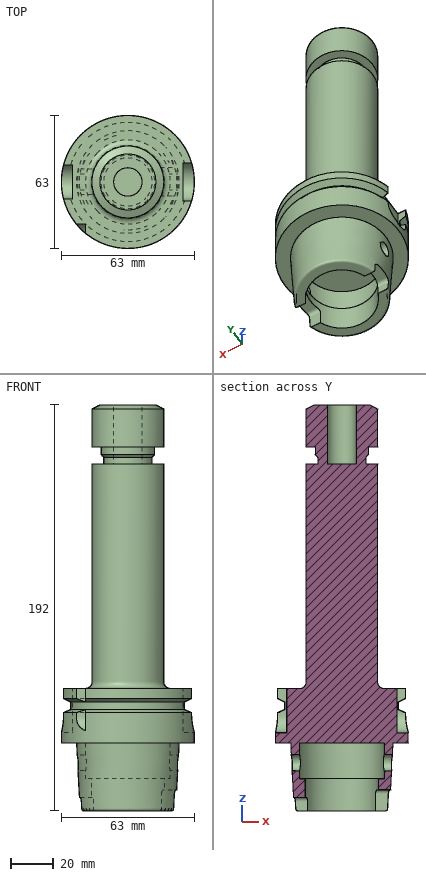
import cadquery as cq
import math

total_length = 192.0
flange_radius = 31.5

shank_length = 32.0
shank_top_diameter = 48.5
shank_top_radius = shank_top_diameter / 2
shank_taper = 0.05
shank_end_rounding = 1.2
shank_end_radius = shank_top_radius - shank_taper * shank_length

flange_height = 26.0
flange_top = shank_length + flange_height
groove_radius = 28.2
groove_lower_edge = 46.5
groove_floor_bottom = 48.0
groove_floor_top = 51.5
groove_upper_edge = 53.2

post_diameter = 34.0
post_radius = post_diameter / 2
post_top = 164.2
post_fillet = 3.0
neck_diameter = 22.8
neck_radius = neck_diameter / 2
neck_top = 167.2
collar_radius = 12.7
collar_chamfer = collar_radius - neck_radius
nut_bottom = 172.0
nut_chamfer_height = 2.0
nut_face_radius = 13.2

bore_diameter = 13.5
bore_depth = total_length - post_top

slot_floor = 26.1
slot_bottom = 37.0
left_slot_width = 16.0
right_slot_width = 18.0

notch_wall = 20.0
notch_end_radius = 7.1
notch_end_center = 44.5

mouth_radius = 17.3
recess_radius = 20.0
recess_bottom = 15.4
cavity_depth = shank_length

cross_hole_diameter = 7.5
cross_hole_height = 22.8
keyway_width = 12.0
keyway_height = 6.3
keyway_corner_radius = 2.0
deep_keyway_width = 13.5
deep_keyway_height = 10.0


def revolved_body():
    arc_inset = 1 - math.sqrt(0.5)
    fillet_mid = post_fillet * arc_inset
    rounding_mid = shank_end_rounding * arc_inset
    profile = (
        cq.Workplane("XZ")
        .lineTo(shank_end_radius - shank_end_rounding, 0)
        .threePointArc(
            (shank_end_radius - rounding_mid, rounding_mid),
            (shank_end_radius, shank_end_rounding),
        )
        .lineTo(shank_top_radius, shank_length)
        .lineTo(flange_radius, shank_length)
        .lineTo(flange_radius, groove_lower_edge)
        .lineTo(groove_radius, groove_floor_bottom)
        .lineTo(groove_radius, groove_floor_top)
        .lineTo(flange_radius, groove_upper_edge)
        .lineTo(flange_radius, flange_top)
        .lineTo(post_radius + post_fillet, flange_top)
        .threePointArc(
            (post_radius + fillet_mid, flange_top + fillet_mid),
            (post_radius, flange_top + post_fillet),
        )
        .lineTo(post_radius, post_top)
        .lineTo(neck_radius, post_top)
        .lineTo(neck_radius, neck_top)
        .lineTo(collar_radius, neck_top + collar_chamfer)
        .lineTo(collar_radius, nut_bottom)
        .lineTo(post_radius, nut_bottom)
        .lineTo(post_radius, total_length - nut_chamfer_height)
        .lineTo(nut_face_radius, total_length)
        .lineTo(0, total_length)
        .close()
    )
    return profile.revolve(360, (0, 0, 0), (0, 1, 0))


def round_ended_slot(center_y, end_center_z, radius, start_x, length):
    """Slot cutter open at the top, with a full round lower end, extruded along +X."""
    return (
        cq.Workplane("YZ", origin=(start_x, 0, 0))
        .moveTo(center_y - radius, flange_top)
        .lineTo(center_y - radius, end_center_z)
        .threePointArc((center_y, end_center_z - radius), (center_y + radius, end_center_z))
        .lineTo(center_y + radius, flange_top)
        .close()
        .extrude(length)
    )


def driving_slot(width, start_x):
    radius = width / 2
    return round_ended_slot(0, slot_bottom + radius, radius, start_x, flange_radius - slot_floor)


def orientation_notch():
    center_y = -notch_wall - notch_end_radius
    return round_ended_slot(
        center_y, notch_end_center, notch_end_radius, -flange_radius, flange_radius - notch_wall
    )


def keyway(width, height, side):
    """Keyway cutter through one shank wall: side is -1 for -X and +1 for +X."""
    return (
        cq.Workplane("XY", origin=(side * flange_radius / 2, 0, 0))
        .box(flange_radius, width, height, centered=(True, True, False))
        .edges("|X and >Z")
        .fillet(keyway_corner_radius)
    )


cavity = (
    cq.Workplane("XY")
    .circle(mouth_radius)
    .extrude(cavity_depth)
    .faces(">Z")
    .workplane()
    .circle(recess_radius)
    .extrude(recess_bottom - cavity_depth)
)
bore = (
    cq.Workplane("XY", origin=(0, 0, total_length - bore_depth))
    .circle(bore_diameter / 2)
    .extrude(bore_depth)
)
cross_hole = (
    cq.Workplane("YZ", origin=(0, 0, cross_hole_height))
    .circle(cross_hole_diameter / 2)
    .extrude(flange_radius, both=True)
)

result = (
    revolved_body()
    .cut(bore)
    .cut(cavity)
    .cut(driving_slot(left_slot_width, -flange_radius))
    .cut(driving_slot(right_slot_width, slot_floor))
    .cut(orientation_notch())
    .cut(cross_hole)
    .cut(keyway(keyway_width, keyway_height, -1))
    .cut(keyway(deep_keyway_width, deep_keyway_height, 1))
)